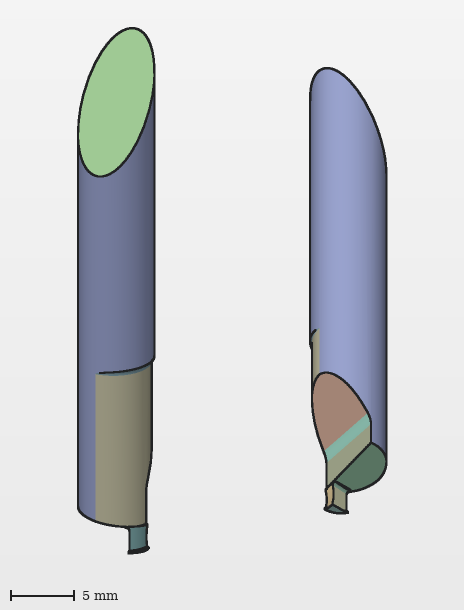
import cadquery as cq
import math

length = 42.45
shank_diameter = 6.0
shank_radius = shank_diameter / 2
end_angle = 60.0
end_drop = shank_diameter * math.tan(math.radians(end_angle))
margin = 4.25

neck_shift = 0.235
neck_top = 15.3
neck_fillet = 0.7

flat_y = 0.18
flat_twist = 2.5
slope_top = 10.27
slope_height = (shank_radius - flat_y) * math.tan(math.radians(end_angle))
flat_blend = 2.12

bottom_z = 2.55
bottom_tilt_x = 7.5
bottom_tilt_y = 5.0

rake_y = -0.065
tip_axis_x = 0.87
tip_radius = 2.0
tip_left = 2.0
tip_left_angle = 4.6
tip_fillet = 0.25
tip_fillet_bottom = 2.05
flare_radius = 2.12
flare_z = 0.2
flare_top = 0.35
corner_radius = 1.95
end_relief = 5.0
groove_depth = 0.13
groove_bottom = 0.15
groove_top = 2.12


def space_above_bottom():
    """Large block whose lower side is the tilted lower face of the neck."""
    width = 2 * (shank_diameter + margin)
    block = cq.Workplane("XY").box(width, width, 2 * length, centered=(True, True, False))
    block = block.rotate((0, 0, 0), (0, 1, 0), bottom_tilt_x)
    block = block.rotate((0, 0, 0), (1, 0, 0), -bottom_tilt_y)
    return block.translate((0, 0, bottom_z))


def oblique_bar():
    """Round bar with an oblique top end."""
    profile = (
        cq.Workplane("YZ")
        .moveTo(-shank_radius, 0)
        .lineTo(shank_radius, 0)
        .lineTo(shank_radius, length)
        .lineTo(-shank_radius, length - end_drop)
        .close()
        .extrude(shank_radius, both=True)
    )
    return cq.Workplane("XY").circle(shank_radius).extrude(length).intersect(profile)


def neck_cutter():
    """Ring around the shifted neck axis, with a concave fillet at its top."""
    outer = shank_radius + neck_fillet
    arc_offset = neck_fillet * math.sqrt(0.5)
    return (
        cq.Workplane("XZ")
        .moveTo(shank_radius, 0)
        .lineTo(shank_radius, neck_top)
        .threePointArc(
            (outer - arc_offset, neck_top + arc_offset),
            (outer, neck_top + neck_fillet),
        )
        .lineTo(outer, 0)
        .close()
        .revolve(360, (0, 0, 0), (0, 1, 0))
        .translate((-neck_shift, 0, 0))
    )


def flat_cutter():
    """Removes the +Y half of the neck, up to the slope."""
    slope_bottom = slope_top - slope_height
    outer_y = shank_radius + margin
    outer_z = slope_top + margin * math.tan(math.radians(end_angle))
    cutter = (
        cq.Workplane("YZ")
        .moveTo(flat_y, -margin)
        .lineTo(flat_y, slope_bottom)
        .lineTo(outer_y, outer_z)
        .lineTo(outer_y, -margin)
        .close()
        .extrude(shank_diameter, both=True)
    )
    corner = cq.selectors.NearestToPointSelector((0, flat_y, slope_bottom))
    cutter = cutter.edges("|X").edges(corner).fillet(flat_blend)
    pivot = (-shank_radius, flat_y)
    return cutter.rotate((*pivot, 0), (*pivot, 1), -flat_twist)


def make_shank():
    bar = oblique_bar().intersect(space_above_bottom())
    return bar.cut(neck_cutter()).cut(flat_cutter())


def tip_round():
    """Round tip blank about its own axis, flared to a cutting rim near the lower end."""
    return (
        cq.Workplane("XZ")
        .moveTo(0, 0)
        .lineTo(corner_radius, 0)
        .lineTo(flare_radius, flare_z)
        .lineTo(tip_radius, flare_top)
        .lineTo(tip_radius, margin)
        .lineTo(0, margin)
        .close()
        .revolve(360, (0, 0, 0), (0, 1, 0))
        .translate((tip_axis_x, rake_y, 0))
    )


def tip_side():
    """Part of the blank between the inner face and the outside, with a fillet at the foot."""
    fillet_top = tip_fillet_bottom + tip_fillet
    arc_offset = tip_fillet * math.sqrt(0.5)
    fillet_center = tip_left - tip_fillet
    side = (
        cq.Workplane("XZ", origin=(0, rake_y, 0))
        .moveTo(tip_left, 0)
        .lineTo(tip_left, tip_fillet_bottom)
        .threePointArc(
            (fillet_center + arc_offset, tip_fillet_bottom + arc_offset),
            (fillet_center, fillet_top),
        )
        .lineTo(fillet_center, margin)
        .lineTo(tip_left + margin, margin)
        .lineTo(tip_left + margin, 0)
        .close()
        .extrude(margin)
    )
    side = side.rotate((tip_left, rake_y, 0), (tip_left, rake_y, 1), tip_left_angle)
    front = cq.Workplane("XY").box(4 * margin, margin, 2 * margin, centered=(True, False, True))
    return side.cut(front.translate((0, rake_y, 0)))


def end_relief_cutter():
    """Slopes the lower end up from the cutting edge toward -Y."""
    block = cq.Workplane("XY").box(2 * margin, 2 * margin, margin, centered=(True, True, False))
    block = block.translate((0, 0, -margin))
    block = block.rotate((0, 0, 0), (1, 0, 0), -end_relief)
    return block.translate((tip_left, rake_y, 0))


def chip_groove():
    """Shallow arc hollow across the rake face."""
    return (
        cq.Workplane("YZ")
        .moveTo(rake_y, groove_bottom)
        .threePointArc(
            (rake_y - groove_depth, (groove_bottom + groove_top) / 2),
            (rake_y, groove_top),
        )
        .close()
        .extrude(2 * margin)
    )


def make_tip():
    blank = tip_round().intersect(tip_side()).cut(space_above_bottom())
    return blank.cut(end_relief_cutter()).cut(chip_groove())


shank = make_shank()
tip = make_tip()
result = cq.Compound.makeCompound([shank.solids().val(), tip.solids().val()])